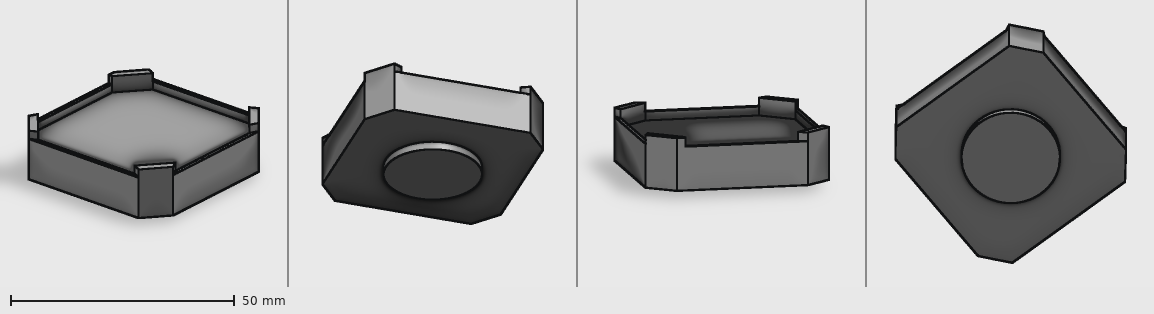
import cadquery as cq

side = 42.0
total_height = 14.0
body_height = 10.0
post_height = 2.0
tray_depth = 2.0
boss_diameter = 22.0
wall = 1.0
corner_x = 5.0
corner_y = 6.0
tray_corner_x = 6.0
tray_corner_y = 7.0

boss_height = total_height - body_height - post_height
bottom = 0.0
rim = bottom + body_height
half = side / 2
tray_half = half - wall


def corner_points(half_side, cut_x, cut_y):
    """Ends of the cut at the +X +Y corner of a square."""
    return [(half_side, half_side - cut_y), (half_side - cut_x, half_side)]


def octagon(half_side, cut_x, cut_y, base, height):
    """Prism of a square with its four corners cut."""
    square_side = 2 * half_side
    prism = cq.Workplane("XY", origin=(0, 0, base)).rect(square_side, square_side).extrude(height)
    corner = [(half_side, half_side)] + corner_points(half_side, cut_x, cut_y)
    for sign_x in (-1, 1):
        for sign_y in (-1, 1):
            points = [(sign_x * x, sign_y * y) for x, y in corner]
            cutter = cq.Workplane("XY", origin=(0, 0, base)).polyline(points).close().extrude(height)
            prism = prism.cut(cutter)
    return prism


def corner_post(sign_x, sign_y, square_end=False):
    """Post over one corner wall, its ends joining the outer and tray corners.

    A square end carries the post along the X side, up to the tray corner.
    """
    outer = corner_points(half, corner_x, corner_y)
    inner = corner_points(tray_half, tray_corner_x, tray_corner_y)
    outline = outer + inner[::-1]
    if square_end:
        outline.append((half, inner[0][1]))
    points = [(sign_x * x, sign_y * y) for x, y in outline]
    start = rim - tray_depth
    return (
        cq.Workplane("XY", origin=(0, 0, start))
        .polyline(points).close()
        .extrude(tray_depth + post_height)
    )


body = octagon(half, corner_x, corner_y, bottom, body_height)
tray = octagon(tray_half, tray_corner_x, tray_corner_y, rim - tray_depth, tray_depth)
result = body.cut(tray)

for sign_x in (-1, 1):
    for sign_y in (-1, 1):
        has_square_end = sign_x < 0 < sign_y
        result = result.union(corner_post(sign_x, sign_y, has_square_end))

boss = cq.Workplane("XY", origin=(0, 0, bottom)).circle(boss_diameter / 2).extrude(-boss_height)
result = result.union(boss)